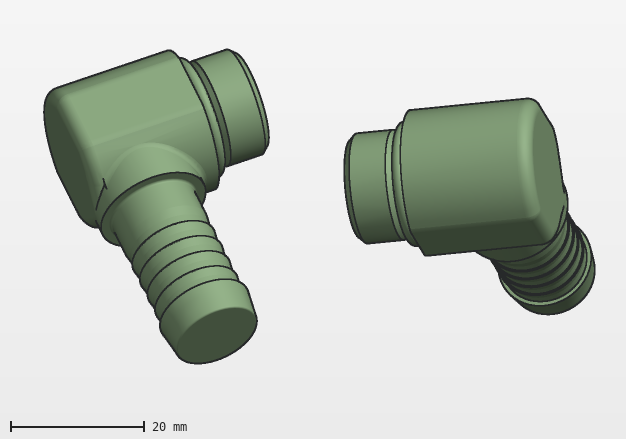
import cadquery as cq
import math


total_length = 48.95
body_radius = 11.0
body_height = 20.0
body_depth = 20.0
flat_blend = 2.0
front_blend = 2.0
nose_angle = math.radians(29)
nose_tip = 10.9
nose_depth = 4.9

collar_radius = 17.0 / 2
collar_end = 12.95
collar_blend = 1.0
tail_radius = 13.5 / 2
root_radius = 13.0 / 2
root_blend = 0.4
barb_count = 5
barb_pitch = 3.0
barb_taper = 1.5
tip_start = 32.95
tip_radius = 14.4 / 2
tip_land = 0.25
tip_end_radius = 13.1 / 2
tip_edge_blend = 0.3
tail_end = total_length - body_radius
barb_start = tip_start - barb_count * barb_pitch

thread_radius = 16.65 / 2
neck_radius = 14.85 / 2
thread_length = 7.55
thread_chamfer = 1.0
total_depth = 29.5
ring_centre_radius = 17.0 / 2
ring_section_radius = 0.955
ring_squeeze = 0.1
ring_seat_radius = ring_centre_radius - ring_section_radius + ring_squeeze

front_y = -collar_radius
back_y = front_y + body_depth
thread_end = front_y + total_depth
thread_start = thread_end - thread_length


def extrude_body(depth):
    half_height = body_height / 2
    flat_half_width = math.sqrt(body_radius**2 - half_height**2)
    return (
        cq.Workplane("XZ", origin=(0, back_y, 0))
        .moveTo(-flat_half_width, half_height)
        .lineTo(flat_half_width, half_height)
        .threePointArc((body_radius, 0), (flat_half_width, -half_height))
        .lineTo(-flat_half_width, -half_height)
        .threePointArc((-body_radius, 0), (-flat_half_width, half_height))
        .close()
        .extrude(depth)
        .edges("|Y")
        .fillet(flat_blend)
    )


def make_nose():
    """Carry the front face out to a point over the collar, with rounded sides."""
    face_radius = body_radius - front_blend
    shoulder_x = face_radius * math.cos(nose_angle)
    shoulder_z = face_radius * math.sin(nose_angle)
    run = nose_tip - shoulder_x
    edge_length = math.hypot(run, shoulder_z)
    wall_tip = nose_tip + front_blend * edge_length / shoulder_z
    wall_x = shoulder_x + front_blend * shoulder_z / edge_length
    wall_z = shoulder_z + front_blend * run / edge_length
    wedge = (
        cq.Workplane("XZ", origin=(0, front_y + nose_depth, 0))
        .polyline([(0, 0), (wall_x, wall_z), (wall_tip, 0), (wall_x, -wall_z)])
        .close()
        .extrude(nose_depth)
        .faces("<Y")
        .edges(">X")
        .fillet(front_blend)
    )
    return wedge.intersect(extrude_body(body_depth))


def make_collar_joint():
    """Build the collar with its concave blend into the side of the body."""
    collar = cq.Workplane("YZ").circle(collar_radius).extrude(collar_end)
    long_body = extrude_body(body_depth + collar_radius)
    joint = long_body.union(collar).edges("%BSPLINE").fillet(collar_blend)
    behind_rim = (
        cq.Workplane("XY", origin=(0, front_y + front_blend, 0))
        .box(collar_end, body_depth - front_blend, body_height, centered=(False, False, True))
    )
    return collar.union(joint.intersect(behind_rim))


def make_elbow():
    rounded_body = extrude_body(body_depth).faces("<Y").edges().fillet(front_blend)
    return rounded_body.union(make_nose()).union(make_collar_joint())


def make_hose_tail():
    profile = (
        cq.Workplane("XY")
        .lineTo(0, tail_radius + root_blend)
        .lineTo(collar_end, tail_radius + root_blend)
        .radiusArc((collar_end + root_blend, tail_radius), -root_blend)
    )
    for index in range(barb_count):
        crest = barb_start + index * barb_pitch
        profile = (
            profile.lineTo(crest, tail_radius)
            .lineTo(crest + barb_taper, root_radius)
            .lineTo(crest + barb_pitch, root_radius)
        )
    tail = (
        profile.lineTo(tip_start, tip_radius)
        .lineTo(tip_start + tip_land, tip_radius)
        .lineTo(tail_end, tip_end_radius)
        .lineTo(tail_end, 0)
        .close()
        .revolve(360, (0, 0, 0), (1, 0, 0))
    )
    return tail.faces(">X").edges().fillet(tip_edge_blend)


def make_threaded_end():
    neck = (
        cq.Workplane("XZ", origin=(0, thread_start, 0))
        .circle(ring_seat_radius)
        .extrude(thread_start)
    )
    thread = (
        cq.Workplane("XZ", origin=(0, thread_end, 0))
        .circle(thread_radius)
        .extrude(thread_length)
        .faces("<Y or >Y")
        .chamfer(thread_chamfer, thread_radius - neck_radius)
    )
    return neck.union(thread)


def make_sealing_ring():
    return (
        cq.Workplane("XY")
        .center(-ring_centre_radius, back_y + ring_section_radius)
        .circle(ring_section_radius)
        .revolve(360, (ring_centre_radius, 0, 0), (ring_centre_radius, 1, 0))
    )


result = (
    make_elbow()
    .union(make_hose_tail())
    .union(make_threaded_end())
    .union(make_sealing_ring())
)